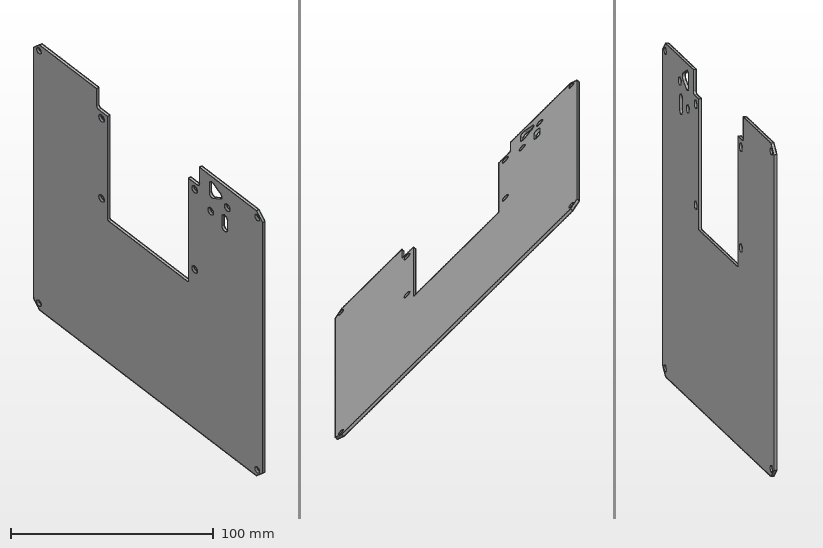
import cadquery as cq
import math

side = 173.6
thickness = 1.6
corner_chamfer = 4.7

upper_half_width = 38.9
upper_depth = 12.7
lower_half_width = 30.5
lower_depth = 80.7
upper_corner_radius = 1.5
lower_corner_radius = 0.7

corner_hole_diameter = 3.5
corner_hole_offset = 82.6
hole_diameter = 4.2
notch_hole_x = 35.2
notch_hole_heights = (17.4, 69.8)
extra_hole_places = [(59.9, 74.1), (47.4, 63.5)]

slot_place = (58.0, 62.7)
slot_length = 10.5
slot_width = 4.2

triangle_left = 48.5
triangle_middle = 78.1
triangle_side = 6.0
triangle_corner_radius = 2.0

top = side / 2


def sketch():
    """Workplane on the mid-plane of the plate; local x, y run along X, Z."""
    return cq.Workplane("XZ")


def cutter(outline):
    """Extrude an outline far enough to pass right through the plate."""
    return outline.extrude(thickness, both=True)


def notch_step(half_width, depth, corner_radius):
    """Cutter open at the top edge, with its two bottom corners rounded."""
    step = cutter(sketch().center(0, top - depth / 2).rect(2 * half_width, depth))
    return step.edges("|Y and <Z").fillet(corner_radius)


def round_holes(places, diameter):
    return cutter(sketch().pushPoints(places).circle(diameter / 2))


def rounded_triangle():
    """Offset the triangle of corner centres outward by the corner radius."""
    tip = triangle_left + triangle_side * math.sqrt(3) / 2
    half = triangle_side / 2
    corner_centres = [
        (triangle_left, triangle_middle - half),
        (tip, triangle_middle),
        (triangle_left, triangle_middle + half),
    ]
    triangle = sketch().polyline(corner_centres).close()
    return cutter(triangle.offset2D(triangle_corner_radius, "arc"))


plate = sketch().rect(side, side).extrude(thickness / 2, both=True)
plate = plate.edges("|Y").chamfer(corner_chamfer)

plate = plate.cut(notch_step(upper_half_width, upper_depth, upper_corner_radius))
plate = plate.cut(notch_step(lower_half_width, lower_depth, lower_corner_radius))

corner_places = [(x * corner_hole_offset, z * corner_hole_offset) for x in (-1, 1) for z in (-1, 1)]
notch_hole_places = [(x * notch_hole_x, z) for x in (-1, 1) for z in notch_hole_heights]
plate = plate.cut(round_holes(corner_places, corner_hole_diameter))
plate = plate.cut(round_holes(notch_hole_places + extra_hole_places, hole_diameter))

slot = cutter(sketch().center(*slot_place).slot2D(slot_length, slot_width, 90))
plate = plate.cut(slot)

result = plate.cut(rounded_triangle())